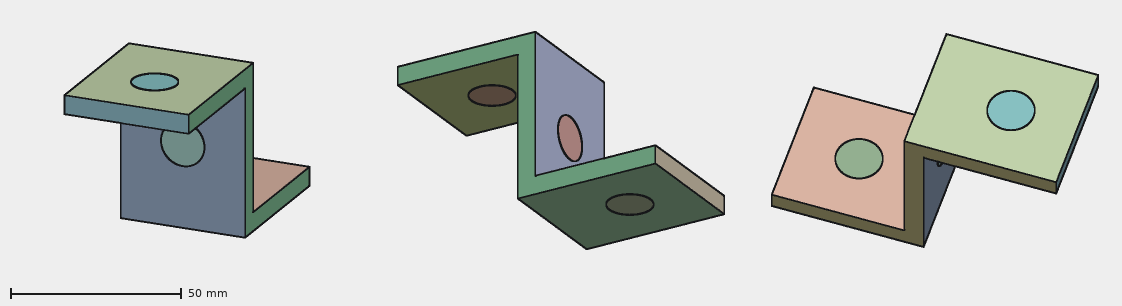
import cadquery as cq

width = 40.0
thickness = 6.0
leg_length = 47.0
height = 53.0

pad_diameter = 14.0
pad_rise = 0.2

half_web = thickness / 2
half_height = height / 2
flange_reach = leg_length - half_web
flange_mid_z = half_height - thickness / 2
pad_y = (half_web + flange_reach) / 2
pad_length = thickness + 2 * pad_rise


def make_bracket():
    """Z profile in the YZ plane, extruded across the width."""
    profile = [
        (half_web, half_height),
        (-flange_reach, half_height),
        (-flange_reach, half_height - thickness),
        (-half_web, half_height - thickness),
        (-half_web, -half_height),
        (flange_reach, -half_height),
        (flange_reach, thickness - half_height),
        (half_web, thickness - half_height),
    ]
    return cq.Workplane("YZ").polyline(profile).close().extrude(width / 2, both=True)


def make_pad(plane, center):
    """Disc through a plate centred at the given point, proud on both faces."""
    return (
        cq.Workplane(plane, origin=center)
        .circle(pad_diameter / 2)
        .extrude(pad_length / 2, both=True)
    )


result = make_bracket()

pads = [
    ("XY", (0, -pad_y, flange_mid_z)),
    ("XZ", (0, 0, 0)),
    ("XY", (0, pad_y, -flange_mid_z)),
]
for plane, center in pads:
    result = result.union(make_pad(plane, center))